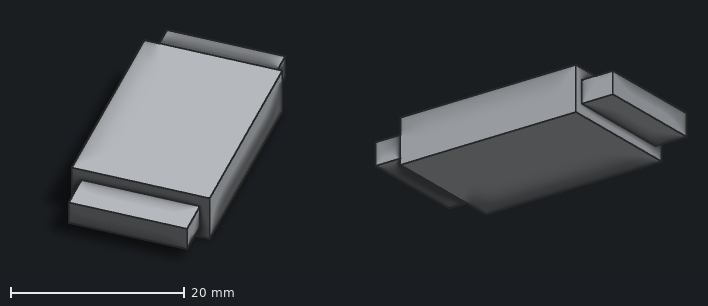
import cadquery as cq

total_length = 33.85
body_width = 16.92
body_length = 25.0
body_height = 6.02

tongue_width = 14.52
tongue_height = body_height / 2

body = cq.Workplane("XY").box(body_width, body_length, body_height)
tongue = cq.Workplane("XY").box(tongue_width, total_length, tongue_height)

result = body.union(tongue)